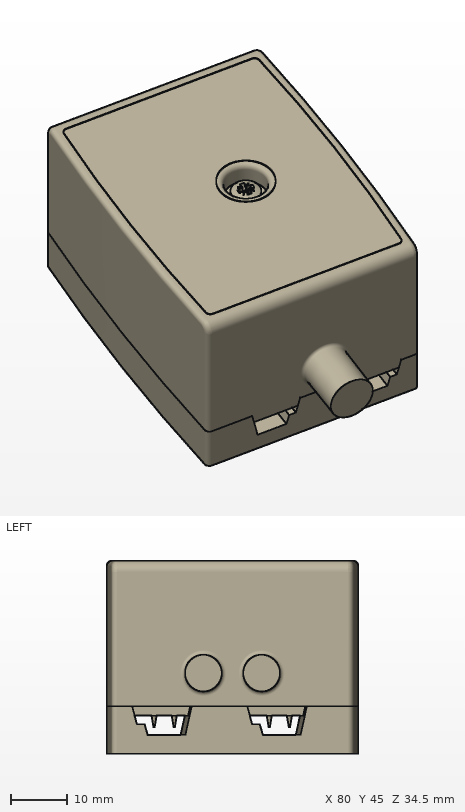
import cadquery as cq
import math

OVERALL_LENGTH = 80.0
LENGTH = 60.0
WIDTH = 45.0
SIDE_BOW = 1.0
HEIGHT = 34.5
BASE_HEIGHT = 8.5
END_RADIUS = 2.0
EDGE_RADIUS = END_RADIUS / 2
HALF_LENGTH = LENGTH / 2
HALF_WIDTH = WIDTH / 2
SHOULDER = HALF_WIDTH - SIDE_BOW

ARC_SAG = 1 - math.sqrt(0.5)

PANEL_RIM = 0.7
PANEL_DEPTH = 0.2
PANEL_CORNER_RADIUS = 1.0
PANEL_END_INSET = END_RADIUS + PANEL_RIM
PANEL_SIDE_INSET = EDGE_RADIUS + PANEL_RIM

SCREW_Y = 2.7
WELL_RING_DIAMETER = 10.6
WELL_MOUTH_DIAMETER = 10.0
WELL_DIAMETER = 8.0
WELL_DEPTH = 4.0
WELL_FLOOR = HEIGHT - WELL_DEPTH
WELL_LIP_RADIUS = (WELL_MOUTH_DIAMETER - WELL_DIAMETER) / 2

HEAD_DIAMETER = 5.5
HEAD_SIDE_HEIGHT = 1.5
HEAD_DOME_HEIGHT = 0.7
SHANK_DIAMETER = 3.2
SHANK_TIP_HEIGHT = 3.4
RECESS_SPAN = 3.5
RECESS_FLOOR_SPAN = 0.8
RECESS_ARM_WIDTH = 0.8
RECESS_DEPTH = 1.3
TICK_START = 1.0
TICK_END = 1.5
TICK_WIDTH = 0.12
TICK_DEPTH = 0.2

STUB_LENGTH = (OVERALL_LENGTH - LENGTH) / 2
STUB_Z = 14.4
TWIN_STUB_Y = 5.2
TWIN_STUB_DIAMETER = 6.7
TWIN_FLARE_DIAMETER = 8.2
SINGLE_STUB_Y = 2.4
SINGLE_STUB_DIAMETER = 8.7
SINGLE_FLARE_DIAMETER = 9.9
STUB_TAPER = 0.2

SLOT_PITCH = 20.6
SLOT_FLOOR_Z = 3.4
SLOT_LEDGE_Z = 5.3
SLOT_TOP_Y = 17.9
SLOT_LEDGE_OUTER_Y = 17.0
SLOT_LEDGE_INNER_Y = 15.7
SLOT_FLOOR_Y = 15.1
SLOT_FAR_FLOOR_Y = 8.4
SLOT_FAR_TOP_Y = 7.3
SLOT_NARROWING = 0.9
SLOT_SHIFTS = (0, -SLOT_PITCH)

TONGUE_START_X = -10.0
TONGUE_BOTTOM_Z = 6.8
PIN_X = 0.0
PIN_YS = (14.0, 10.4)
PIN_LENGTH = 2.1
PIN_ROOT_DIAMETER = 1.0
PIN_TIP_DIAMETER = 0.2


def bowed_plate(end_inset, side_inset, bottom, top):
    """Plate with straight ends and bowed long sides, inset from the enclosure outline."""
    x = HALF_LENGTH - end_inset
    shoulder = SHOULDER - side_inset
    crown = HALF_WIDTH - side_inset
    return (
        cq.Workplane("XY", origin=(0, 0, bottom))
        .moveTo(-x, -shoulder)
        .threePointArc((0, -crown), (x, -shoulder))
        .lineTo(x, shoulder)
        .threePointArc((0, crown), (-x, shoulder))
        .close()
        .extrude(top - bottom)
    )


def vertical_cylinder(diameter, bottom, top):
    """Upright cylinder on the screw axis."""
    return cq.Workplane("XY", origin=(0, SCREW_Y, bottom)).circle(diameter / 2).extrude(top - bottom)


def slot(y_shift):
    """Stepped slot running the whole length of the base, narrowing toward +X."""

    def outline(narrowing):
        points = [
            (SLOT_TOP_Y, BASE_HEIGHT),
            (SLOT_LEDGE_OUTER_Y, SLOT_LEDGE_Z),
            (SLOT_LEDGE_INNER_Y, SLOT_LEDGE_Z),
            (SLOT_FLOOR_Y, SLOT_FLOOR_Z),
            (SLOT_FAR_FLOOR_Y + narrowing, SLOT_FLOOR_Z),
            (SLOT_FAR_TOP_Y + narrowing, BASE_HEIGHT),
        ]
        return [(y + y_shift, z) for y, z in points]

    return (
        cq.Workplane("YZ", origin=(-HALF_LENGTH, 0, 0))
        .polyline(outline(0)).close()
        .workplane(offset=LENGTH)
        .polyline(outline(SLOT_NARROWING)).close()
        .loft(ruled=True)
    )


def stub(direction, y, diameter, flare_diameter):
    """Tapered cable stub with a concave flare at its root, pointing along +X or -X."""
    root = diameter / 2
    flare = flare_diameter / 2 - root
    tip = root - STUB_TAPER / 2
    arc_reach = flare * ARC_SAG
    profile = (
        cq.Workplane("XZ")
        .lineTo(0, root + flare)
        .threePointArc((arc_reach, root + arc_reach), (flare, root))
        .lineTo(STUB_LENGTH, tip)
        .lineTo(STUB_LENGTH, 0)
        .close()
    )
    solid = profile.revolve(360, (0, 0, 0), (1, 0, 0))
    if direction < 0:
        solid = solid.mirror("YZ")
    return solid.translate((direction * HALF_LENGTH, y, STUB_Z))


def pin(y):
    """Tapered contact pin hanging from a tongue."""
    cone = cq.Solid.makeCone(
        PIN_ROOT_DIAMETER / 2, PIN_TIP_DIAMETER / 2, PIN_LENGTH,
        cq.Vector(PIN_X, y, TONGUE_BOTTOM_Z), cq.Vector(0, 0, -1),
    )
    return cq.Workplane(cone)


def tongue(y_shift):
    """Strip under the cover that fills the upper part of a slot."""
    length = HALF_LENGTH - TONGUE_START_X
    band = (
        cq.Workplane("XY", origin=(TONGUE_START_X, 0, TONGUE_BOTTOM_Z))
        .box(length, 2 * WIDTH, BASE_HEIGHT - TONGUE_BOTTOM_Z, centered=(False, True, False))
    )
    return slot(y_shift).intersect(band)


def panel_recess():
    """Shallow recess in the top face that leaves a ring standing around the screw well."""
    floor = HEIGHT - PANEL_DEPTH
    panel = bowed_plate(PANEL_END_INSET, PANEL_SIDE_INSET, floor, HEIGHT)
    panel = panel.edges("|Z").fillet(PANEL_CORNER_RADIUS)
    return panel.cut(vertical_cylinder(WELL_RING_DIAMETER, floor, HEIGHT))


def screw_well():
    """Round well with a rounded mouth, to be cut from the cover."""
    radius = WELL_DIAMETER / 2
    mouth = WELL_MOUTH_DIAMETER / 2
    arc_reach = WELL_LIP_RADIUS * ARC_SAG
    return (
        cq.Workplane("XZ", origin=(0, SCREW_Y, 0))
        .moveTo(0, WELL_FLOOR)
        .lineTo(radius, WELL_FLOOR)
        .lineTo(radius, HEIGHT - WELL_LIP_RADIUS)
        .threePointArc((radius + arc_reach, HEIGHT - arc_reach), (mouth, HEIGHT))
        .lineTo(0, HEIGHT)
        .close()
        .revolve(360, (0, 0, 0), (0, 1, 0))
    )


def screw_shank():
    """Shank below the head; the same shape is the hole in cover and base."""
    return vertical_cylinder(SHANK_DIAMETER, SHANK_TIP_HEIGHT, WELL_FLOOR)


def make_base():
    base = bowed_plate(0, 0, 0, BASE_HEIGHT).edges("|Z").fillet(EDGE_RADIUS)
    for shift in SLOT_SHIFTS:
        base = base.cut(slot(shift))
    return base.cut(screw_shank())


def make_cover():
    cover = bowed_plate(0, 0, BASE_HEIGHT, HEIGHT)
    cover = cover.faces(">Z").edges("|Y").fillet(END_RADIUS)
    rounded_edges = cover.faces(">Y or <Y").edges("not <Z")
    cover = rounded_edges.fillet(EDGE_RADIUS)
    cover = cover.cut(panel_recess()).cut(screw_well()).cut(screw_shank())
    for y in (TWIN_STUB_Y, -TWIN_STUB_Y):
        cover = cover.union(stub(-1, y, TWIN_STUB_DIAMETER, TWIN_FLARE_DIAMETER))
    cover = cover.union(stub(1, SINGLE_STUB_Y, SINGLE_STUB_DIAMETER, SINGLE_FLARE_DIAMETER))
    for shift in SLOT_SHIFTS:
        cover = cover.union(tongue(shift))
        for y in PIN_YS:
            cover = cover.union(pin(y + shift))
    return cover


def cross_recess(top):
    """Cross recess whose arm ends slope in toward a small square floor."""
    arm = (
        cq.Workplane("XZ")
        .moveTo(-RECESS_SPAN / 2, top)
        .lineTo(RECESS_SPAN / 2, top)
        .lineTo(RECESS_FLOOR_SPAN / 2, top - RECESS_DEPTH)
        .lineTo(-RECESS_FLOOR_SPAN / 2, top - RECESS_DEPTH)
        .close()
        .extrude(RECESS_ARM_WIDTH / 2, both=True)
    )
    cross = arm.union(arm.rotate((0, 0, 0), (0, 0, 1), 90))
    return cross.translate((0, SCREW_Y, 0))


def make_screw():
    radius = HEAD_DIAMETER / 2
    rim = WELL_FLOOR + HEAD_SIDE_HEIGHT
    top = rim + HEAD_DOME_HEIGHT
    dome_radius = (radius**2 + HEAD_DOME_HEIGHT**2) / (2 * HEAD_DOME_HEIGHT)
    head = vertical_cylinder(HEAD_DIAMETER, WELL_FLOOR, top)
    ball = cq.Workplane("XY", origin=(0, SCREW_Y, top - dome_radius)).sphere(dome_radius)
    head = head.intersect(ball)
    head = head.cut(cross_recess(top))
    for angle in (45, 135, 225, 315):
        tick = (
            cq.Workplane("XY", origin=(0, 0, rim))
            .center((TICK_START + TICK_END) / 2, 0)
            .rect(TICK_END - TICK_START, TICK_WIDTH)
            .extrude(HEAD_DOME_HEIGHT)
        )
        lowered = ball.translate((0, -SCREW_Y, -TICK_DEPTH))
        tick = tick.cut(lowered).rotate((0, 0, 0), (0, 0, 1), angle)
        head = head.cut(tick.translate((0, SCREW_Y, 0)))
    return head.union(screw_shank())


base = make_base()
cover = make_cover()
screw = make_screw()

result = cq.Compound.makeCompound([
    base.solids().val(),
    cover.solids().val(),
    screw.solids().val(),
])